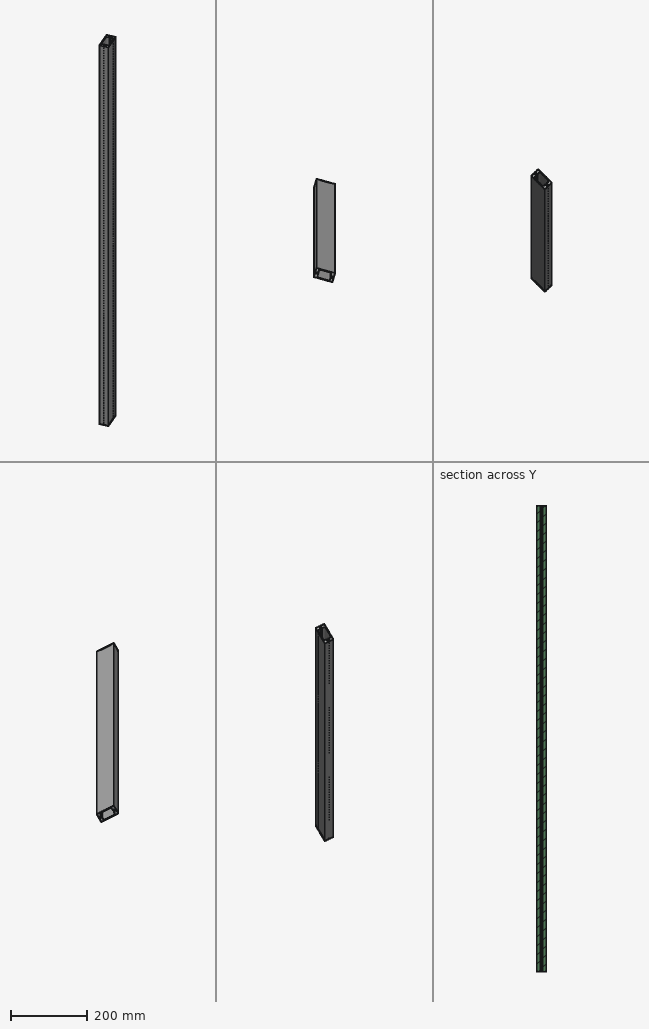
import cadquery as cq

width = 25.4
depth = 50.8
length = 1219.2

side_wall = 2.1
end_web = 8.6
cavity_radius = 3.6

groove_width = 4.4
groove_end_wall = 2.6
groove_radius = 0.9

cavity_width = width - 2 * side_wall
cavity_depth = depth - 2 * end_web
groove_span = depth - 2 * groove_end_wall


def rounded_bar(size_x, size_y, radius):
    """Full-length bar along Z with rounded long edges."""
    bar = cq.Workplane("XY").rect(size_x, size_y).extrude(length)
    return bar.edges("|Z").fillet(radius)


outer = cq.Workplane("XY").rect(width, depth).extrude(length)
cavity = rounded_bar(cavity_width, cavity_depth, cavity_radius)

grooves = rounded_bar(groove_width, groove_span, groove_radius)

result = outer.cut(cavity).cut(grooves)